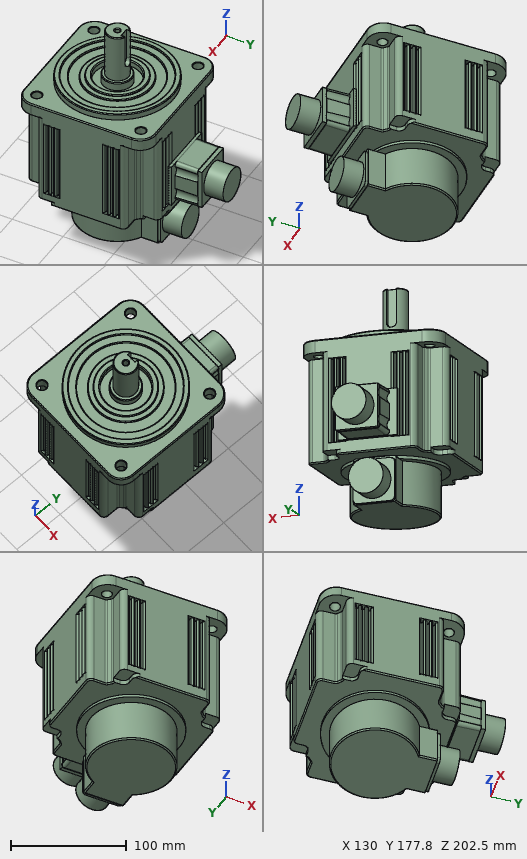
import cadquery as cq
import math

shaft_top = 202.5
collar_top = 155.5
pilot_top = 153.5
flange_top = 147.5
flange_bottom = 135.9
fin_top = 129.8
fin_bottom = 54.3
wire_slot_top = 47.4
body_bottom = 43.0
ring_bottom = 40.0

flange_width = 130.0
half_width = flange_width / 2
flange_corner_radius = 15.4
flange_chamfer = 1.0
mount_hole_pitch = 102.5
mount_hole_diameter = 9.3
mount_hole_chamfer = 0.6

notch_wall = 43.7
notch_chamfer = 4.3
notch_blend_radius = 3.0
leg_fillet = 5.0
body_chamfer = 1.2

groove_pitch = 5.5
groove_width = 2.13
groove_depth = 5.3
first_groove = 23.6
groove_count = 3
lip_radius = (groove_pitch - groove_width) / 2

slot_floor = 49.5
slot_end = 31.4
slot_inner_radius = 5.9
slot_outer_radius = 5.0

pilot_radius = 55.0
pilot_chamfer = 0.8
step_radii = [49.6, 42.5]
hub_radii = [28.4, 33.2]
step_height = 1.5
step_chamfer = 0.8
recess_radius = 22.5
recess_chamfer = 1.0

shaft_radius = 11.1
shaft_chamfer = 0.8
collar_radius = 14.4
collar_chamfer = 0.8
key_width = 9.3
key_floor = 6.3
key_end = 167.7
center_hole_radius = 2.5
center_hole_depth = 16.2
center_hole_chamfer = 0.8

ring_radius = 47.2
housing_radius = 39.5
housing_chamfer = 1.2
housing_box_width = 39.3
housing_box_back = 50.5
housing_box_top = 41.3

socket_radius = 16.0

encoder_axis = 19.8
encoder_plate_size = 38.5
encoder_plate_back = 53.0
encoder_socket_back = 71.7
encoder_plate_fillet = 3.6

power_axis = 75.7
power_base_width = 54.7
power_base_height = 41.7
power_base_back = 68.0
power_block_size = 41.3
power_block_end_size = 40.0
power_block_fillet = 3.6
power_block_back = 89.7
power_plate_size = 38.7
power_plate_back = 93.8
power_socket_back = 112.8
screw_channel_offset = 12.0
screw_channel_radius = 6.0
screw_channel_depth = 2.5


def cylinder(radius, bottom, top):
    """Cylinder on the motor axis."""
    return cq.Workplane("XY").workplane(offset=bottom).circle(radius).extrude(top - bottom)


def square(width, bottom, top):
    """Square block centred on the motor axis."""
    return cq.Workplane("XY").workplane(offset=bottom).rect(width, width).extrude(top - bottom)


def back_plane(y, z):
    """Workplane facing +Y, centred on X = 0 at the given height."""
    return cq.Workplane("XZ", origin=(0, y, z)).transformed(rotate=(0, 180, 0))


def four_turns(shape):
    """The shape repeated on all four sides of the motor axis."""
    turned = shape
    for quarter in range(1, 4):
        turned = turned.union(shape.rotate((0, 0, 0), (0, 0, 1), 90 * quarter))
    return turned


def corner_notch():
    """Screw clearance at the +X +Y corner, below the flange."""
    outside = 2 * half_width
    notch = (
        cq.Workplane("XY").workplane(offset=body_bottom)
        .moveTo(outside, notch_wall)
        .lineTo(notch_wall + notch_chamfer, notch_wall)
        .lineTo(notch_wall, notch_wall + notch_chamfer)
        .lineTo(notch_wall, outside)
        .lineTo(outside, outside)
        .close()
        .extrude(flange_bottom - body_bottom)
    )
    blend = cq.selectors.BoxSelector(
        (notch_wall - 2, notch_wall - 2, 0),
        (notch_wall + notch_chamfer + 2, notch_wall + notch_chamfer + 2, shaft_top),
    )
    return notch.edges("|Z").edges(blend).fillet(notch_blend_radius)


def cooling_groove(x):
    """Round-bottomed groove with rounded lips in the -Y face."""
    mouth = groove_width / 2 + lip_radius
    wall = groove_width / 2
    face = -half_width
    floor = face + groove_depth
    return (
        cq.Workplane("XY").workplane(offset=fin_bottom)
        .moveTo(x - mouth, face)
        .radiusArc((x - wall, face + lip_radius), lip_radius)
        .lineTo(x - wall, floor - wall)
        .threePointArc((x, floor), (x + wall, floor - wall))
        .lineTo(x + wall, face + lip_radius)
        .radiusArc((x + mouth, face), lip_radius)
        .lineTo(x + mouth, face - 2)
        .lineTo(x - mouth, face - 2)
        .close()
        .extrude(fin_top - fin_bottom)
    )


def face_grooves():
    """Both groups of cooling grooves in the -Y face."""
    grooves = cq.Workplane("XY")
    for index in range(groove_count):
        offset = first_groove + index * groove_pitch
        grooves = grooves.union(cooling_groove(offset)).union(cooling_groove(-offset))
    return grooves


def wire_slot():
    """Slot under the left leg of the -Y face, leaving the face in an S-shaped curve."""
    face = -half_width
    floor = -slot_floor
    return (
        cq.Workplane("XY").workplane(offset=body_bottom)
        .moveTo(-half_width, floor)
        .lineTo(-slot_end - slot_inner_radius, floor)
        .radiusArc((-slot_end, floor - slot_inner_radius), slot_inner_radius)
        .lineTo(-slot_end, face + slot_outer_radius)
        .radiusArc((-slot_end + slot_outer_radius, face), -slot_outer_radius)
        .lineTo(-slot_end + slot_outer_radius, face - 2)
        .lineTo(-half_width, face - 2)
        .close()
        .extrude(wire_slot_top - body_bottom)
    )


def motor_body():
    """Grooved body with notched corners."""
    body = square(flange_width, body_bottom, flange_bottom).cut(four_turns(corner_notch()))
    leg_edges = None
    for sign_x in (-1, 1):
        for sign_y in (-1, 1):
            for x, y in ((half_width, notch_wall), (notch_wall, half_width)):
                corner = cq.selectors.BoxSelector(
                    (sign_x * x - 0.2, sign_y * y - 0.2, 0),
                    (sign_x * x + 0.2, sign_y * y + 0.2, shaft_top),
                )
                leg_edges = corner if leg_edges is None else leg_edges + corner
    body = body.edges("|Z").edges(leg_edges).fillet(leg_fillet)
    body = body.faces("<Z").chamfer(body_chamfer)
    body = body.cut(four_turns(wire_slot()))
    return body.cut(four_turns(face_grooves()))


def flange():
    """Square mounting flange with chamfered screw holes."""
    plate = square(flange_width, flange_bottom, flange_top)
    plate = plate.edges("|Z").fillet(flange_corner_radius).faces(">Z").chamfer(flange_chamfer)
    mouth_diameter = mount_hole_diameter + 2 * mount_hole_chamfer
    return (
        plate.faces(">Z").workplane()
        .rect(mount_hole_pitch, mount_hole_pitch, forConstruction=True)
        .vertices()
        .cskHole(mount_hole_diameter, mouth_diameter, 90)
    )


def pilot():
    """Round pilot with a dished front face and a recess around the shaft."""
    ledge = pilot_top - step_height
    floor = ledge - step_height
    profile = [
        (pilot_radius, flange_top),
        (pilot_radius, pilot_top - pilot_chamfer),
        (pilot_radius - pilot_chamfer, pilot_top),
        (step_radii[0] + step_chamfer, pilot_top),
        (step_radii[0], pilot_top - step_chamfer),
        (step_radii[0], ledge),
        (step_radii[1] + step_chamfer, ledge),
        (step_radii[1], ledge - step_chamfer),
        (step_radii[1], floor),
        (hub_radii[1], floor),
        (hub_radii[1], ledge - step_chamfer),
        (hub_radii[1] - step_chamfer, ledge),
        (hub_radii[0], ledge),
        (hub_radii[0], pilot_top - step_chamfer),
        (hub_radii[0] - step_chamfer, pilot_top),
        (recess_radius + recess_chamfer, pilot_top),
        (recess_radius, pilot_top - recess_chamfer),
        (recess_radius, flange_top),
    ]
    return cq.Workplane("XZ").polyline(profile).close().revolve(360, (0, 0, 0), (0, 1, 0))


def shaft():
    """Keyed output shaft with a collar and a centre hole."""
    collar = cylinder(collar_radius, flange_bottom, collar_top).faces(">Z").chamfer(collar_chamfer)
    rod = cylinder(shaft_radius, flange_bottom, shaft_top).faces(">Z").chamfer(shaft_chamfer)

    key_depth = shaft_radius - key_floor
    round_end = key_end + key_width / 2
    key_cut = (
        back_plane(key_floor, 0)
        .moveTo(-key_width / 2, shaft_top)
        .lineTo(-key_width / 2, round_end)
        .threePointArc((0, key_end), (key_width / 2, round_end))
        .lineTo(key_width / 2, shaft_top)
        .close()
        .extrude(key_depth)
    )

    hole_bottom = shaft_top - center_hole_depth
    tip = hole_bottom - center_hole_radius * math.tan(math.radians(30))
    hole = (
        cq.Workplane("XZ")
        .moveTo(0, tip)
        .lineTo(center_hole_radius, hole_bottom)
        .lineTo(center_hole_radius, shaft_top - center_hole_chamfer)
        .lineTo(center_hole_radius + center_hole_chamfer, shaft_top)
        .lineTo(0, shaft_top)
        .close()
        .revolve(360, (0, 0, 0), (0, 1, 0))
    )
    return collar.union(rod.cut(key_cut).cut(hole))


def rear_housing():
    """Encoder housing, its ring under the body and its connector."""
    ring = cylinder(ring_radius, ring_bottom, body_bottom)
    can = cylinder(housing_radius, 0, ring_bottom)
    box = (
        cq.Workplane("XY")
        .center(0, housing_box_back / 2)
        .rect(housing_box_width, housing_box_back)
        .extrude(housing_box_top)
        .edges("|Y").chamfer(housing_chamfer)
    )
    housing = can.faces("<Z").chamfer(housing_chamfer).union(box)
    plate = (
        back_plane(housing_box_back, encoder_axis)
        .rect(encoder_plate_size, encoder_plate_size)
        .extrude(encoder_plate_back - housing_box_back)
        .edges("|Y").fillet(encoder_plate_fillet)
    )
    socket = (
        back_plane(encoder_plate_back, encoder_axis)
        .circle(socket_radius)
        .extrude(encoder_socket_back - encoder_plate_back)
    )
    return ring.union(housing).union(plate).union(socket)


def power_connector():
    """Tapered connector on the back face, with screw channels along its sides."""
    base = (
        back_plane(half_width, power_axis + (power_block_size - power_base_height) / 2)
        .rect(power_base_width, power_base_height)
        .extrude(power_base_back - half_width)
    )
    block_length = power_block_back - power_base_back
    taper = math.degrees(math.atan((power_block_size - power_block_end_size) / 2 / block_length))
    block = (
        back_plane(power_base_back, power_axis)
        .sketch()
        .rect(power_block_size, power_block_size)
        .vertices()
        .fillet(power_block_fillet)
        .finalize()
        .extrude(block_length, taper=taper)
    )
    channel_center = power_block_size / 2 + screw_channel_radius - screw_channel_depth
    channels = (
        back_plane(power_base_back, power_axis)
        .rect(2 * channel_center, 2 * screw_channel_offset, forConstruction=True)
        .vertices()
        .circle(screw_channel_radius)
        .extrude(block_length)
    )
    plate = (
        back_plane(power_block_back, power_axis)
        .rect(power_plate_size, power_plate_size)
        .extrude(power_plate_back - power_block_back)
    )
    socket = (
        back_plane(power_plate_back, power_axis)
        .circle(socket_radius)
        .extrude(power_socket_back - power_plate_back)
    )
    return base.union(block.cut(channels)).union(plate).union(socket)


result = (
    motor_body()
    .union(flange())
    .union(pilot())
    .union(shaft())
    .union(rear_housing())
    .union(power_connector())
)